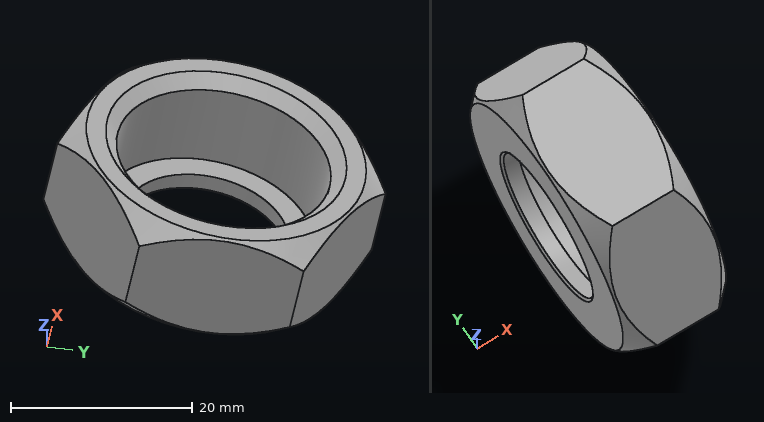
import cadquery as cq

across_corners = 36.95
thickness = 13.5
face_diameter = 31.48
bore_diameter = 18.5
counterbore_diameter = 24.13
lip_length = 2.2
lip_chamfer = 0.3
counterbore_chamfer = 1.48


def disc(diameter, length, start):
    """Cylinder on the X axis that begins at x = start."""
    return cq.Workplane("YZ").workplane(offset=start).circle(diameter / 2).extrude(length)


half_thickness = thickness / 2
hexagon = cq.Workplane("YZ").workplane(offset=-half_thickness).polygon(6, across_corners).extrude(thickness)

corner_chamfer = (across_corners - face_diameter) / 2
envelope = disc(across_corners, thickness, -half_thickness).edges().chamfer(corner_chamfer)
nut = hexagon.intersect(envelope)

nut = nut.cut(disc(bore_diameter, thickness, -half_thickness))
nut = nut.cut(disc(counterbore_diameter, thickness - lip_length, lip_length - half_thickness))

inner_rims = cq.selectors.RadiusNthSelector(0)
nut = nut.faces("<X").edges(inner_rims).chamfer(lip_chamfer)
nut = nut.faces(">X").edges(inner_rims).chamfer(counterbore_chamfer)

result = nut